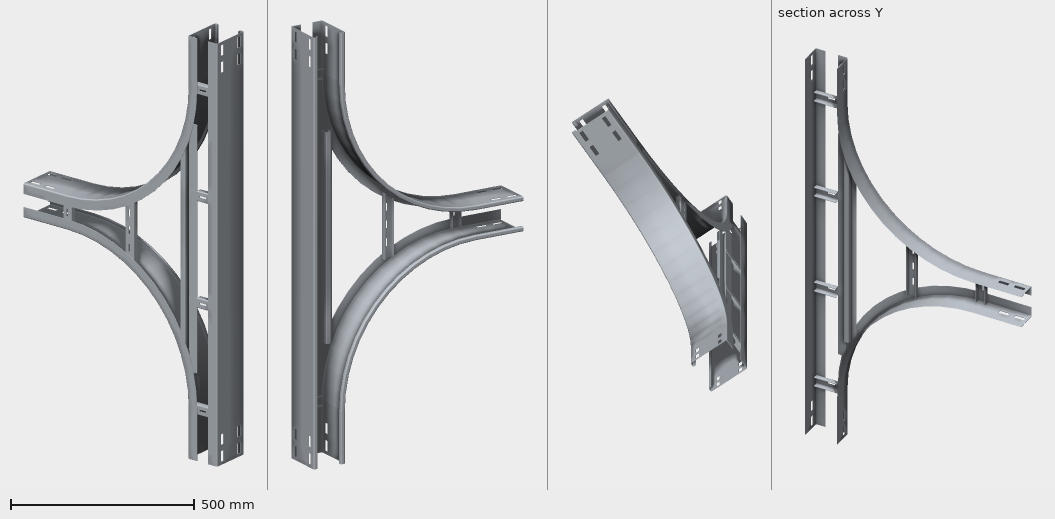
import cadquery as cq
import math

run_length = 1240.0
ladder_width = 100.0
leg_length = 150.0
rail_height = 120.0
sheet = 1.5
rail_bend = 4.0
small_bend = 3.0

rail_flange = 31.0
rail_lip = 14.0
rail_lip_return = 10.0

rail_slot_length = 31.0
rail_slot_width = 11.0
rail_slot_offset = 37.0
rail_slot_pitch = 50.0
first_slot_center = 25.0

rung_width = 30.0
rung_depth = 16.0
rung_slot_length = 22.0
rung_slot_width = 5.0

middle_rung_x = 366.0
middle_rung_length = 191.0
middle_rung_slot_pitch = 51.0

beam_left = 542.0
trough_left = 557.0
trough_right = 569.0
beam_right = 599.0
beam_depth = 20.0
trough_length = 608.0
beam_length = 729.0
beam_corner = 4.0

half_run = run_length / 2
half_width = ladder_width / 2
rail_radius = half_run - half_width - leg_length
arc_x = leg_length
arc_z = half_run - leg_length
side_web_x = arc_x + rail_radius
straight_web_x = side_web_x + ladder_width
inner_rung_z = arc_z / 3
rung_front = -rail_height / 2 + sheet
beam_front = rung_front + sheet


def unit(start, end):
    length = math.dist(start, end)
    return ((end[0] - start[0]) / length, (end[1] - start[1]) / length)


def side_moves(path, offset, mid_radius):
    """Lines and bend arcs of one face of a sheet whose mid-line is a right-angled path."""
    first = unit(path[0], path[1])
    moves = [("line", (path[0][0] - offset * first[1], path[0][1] + offset * first[0]))]
    for before, corner, after in zip(path, path[1:], path[2:]):
        a = unit(before, corner)
        b = unit(corner, after)
        turn = a[0] * b[1] - a[1] * b[0]
        radius = mid_radius - offset * turn
        tip = (corner[0] - offset * (a[1] + b[1]), corner[1] + offset * (a[0] + b[0]))
        begin = (tip[0] - radius * a[0], tip[1] - radius * a[1])
        finish = (tip[0] + radius * b[0], tip[1] + radius * b[1])
        inset = radius * (1 - math.sqrt(0.5))
        middle = (tip[0] + inset * (b[0] - a[0]), tip[1] + inset * (b[1] - a[1]))
        moves += [("line", begin), ("arc", middle, finish)]
    last = unit(path[-2], path[-1])
    moves.append(("line", (path[-1][0] - offset * last[1], path[-1][1] + offset * last[0])))
    return moves


def bent_section(workplane, path, outer_radius):
    """Closed outline of a bent sheet around its mid-line path."""
    mid_radius = outer_radius - sheet / 2
    outline = side_moves(path, sheet / 2, mid_radius) + side_moves(path[::-1], sheet / 2, mid_radius)
    section = workplane.moveTo(*outline[0][1])
    for move in outline[1:]:
        if move[0] == "line":
            section = section.lineTo(*move[1])
        else:
            section = section.threePointArc(*move[1:])
    return section.close()


def rail_section(z, web_x, inward):
    """Rail section at height z; inward is the X direction from the web to the ladder's middle."""
    half_height = rail_height / 2 - sheet / 2
    web = web_x + inward * sheet / 2
    lip = web_x + inward * (rail_lip - sheet / 2)
    path = [
        (web_x + inward * rail_flange, -half_height),
        (web, -half_height),
        (web, half_height),
        (lip, half_height),
        (lip, rail_height / 2 - rail_lip_return),
    ]
    return bent_section(cq.Workplane("XY", origin=(0, 0, z)), path, rail_bend)


def rail_slots(end_z, into_rail, web_x):
    """Four slots through a web near one rail end; into_rail is the Z direction away from the end."""
    first = end_z + into_rail * first_slot_center
    centers = [
        (row * rail_slot_offset, first + into_rail * index * rail_slot_pitch)
        for row in (-1, 1)
        for index in (0, 1)
    ]
    return (
        cq.Workplane("YZ", origin=(web_x, 0, 0))
        .pushPoints(centers)
        .rect(rail_slot_width, rail_slot_length)
        .extrude(2 * sheet, both=True)
    )


def rail_leg(direction):
    """Straight end of a curved rail, running from the arc along Z in the given direction."""
    leg = rail_section(arc_z, side_web_x, 1).extrude(direction * leg_length)
    return leg.cut(rail_slots(arc_z + direction * leg_length, -direction, side_web_x))


def make_curved_rail(side):
    """Quarter-bend rail with two straight ends; side is +1 for the upper one, -1 for the lower."""
    arc = rail_section(arc_z, side_web_x, 1).revolve(90, (arc_x, 0), (arc_x, 1))
    branch_leg = rail_leg(-1).rotate((arc_x, 0, arc_z), (arc_x, 1, arc_z), 90)
    rail = arc.union(rail_leg(1), clean=False).union(branch_leg, clean=False)
    return rail if side > 0 else rail.mirror("XY")


def make_straight_rail():
    rail = rail_section(-half_run, straight_web_x, -1).extrude(run_length)
    for end in (-1, 1):
        rail = rail.cut(rail_slots(end * half_run, -end, straight_web_x))
    return rail


def make_rung(start, end, slot_centers):
    """Channel rung along X, centred on Z = 0, with its web at the front."""
    side = rung_width / 2 - sheet / 2
    web = rung_front + sheet / 2
    back = rung_front + rung_depth
    path = [(back, -side), (web, -side), (web, side), (back, side)]
    section_plane = cq.Workplane("YZ", origin=(start, 0, 0))
    rung = bent_section(section_plane, path, small_bend).extrude(end - start)
    slots = (
        cq.Workplane("XZ", origin=(0, rung_front, 0))
        .pushPoints([(x, 0) for x in slot_centers])
        .rect(rung_slot_length, rung_slot_width)
        .extrude(2 * sheet, both=True)
    )
    return rung.cut(slots)


def make_outer_rung(z):
    start = side_web_x + rail_bend
    end = straight_web_x - rail_bend
    return make_rung(start, end, [(side_web_x + straight_web_x) / 2]).translate((0, 0, z))


def make_inner_rung(z):
    """Rung whose flat web reaches over the beam flange as a tongue."""
    end = straight_web_x - rail_bend
    rung = make_rung(beam_right, end, [(side_web_x + straight_web_x) / 2])
    tongue_start = trough_right + small_bend
    tongue = cq.Workplane("XY").box(
        beam_right - tongue_start, sheet, rung_width - 2 * small_bend, centered=(False, False, True)
    )
    return rung.union(tongue.translate((tongue_start, rung_front, 0)), clean=False).translate((0, 0, z))


def make_upright_rung(x, length, slot_centers):
    """Rung across the branch, along Z."""
    rung = make_rung(-length / 2, length / 2, slot_centers)
    return rung.rotate((0, 0, 0), (0, 1, 0), 90).translate((x, 0, 0))


def make_beam():
    """Troughed sheet between the curved rails, with a longer flat flange on its right."""
    front = beam_front + sheet / 2
    back = beam_front + beam_depth - sheet / 2
    left_wall = trough_left - sheet / 2
    right_wall = trough_right + sheet / 2
    path = [
        (beam_left, front),
        (left_wall, front),
        (left_wall, back),
        (right_wall, back),
        (right_wall, front),
        (beam_right, front),
    ]
    section_plane = cq.Workplane("XY", origin=(0, 0, -trough_length / 2))
    trough = bent_section(section_plane, path, small_bend).extrude(trough_length)
    flange_left = trough_right + small_bend
    flange = (
        cq.Workplane("XY")
        .box(beam_right - flange_left, sheet, beam_length, centered=(False, False, True))
        .edges("|Y and >X")
        .fillet(beam_corner)
        .translate((flange_left, beam_front, 0))
    )
    return trough.union(flange)


straight_rail = make_straight_rail()
curved_rails = [make_curved_rail(side) for side in (-1, 1)]
outer_rungs = [make_outer_rung(side * arc_z) for side in (-1, 1)]
inner_rungs = [make_inner_rung(side * inner_rung_z) for side in (-1, 1)]
branch_rung = make_upright_rung(leg_length, ladder_width - 2 * rail_bend, [0])
middle_rung = make_upright_rung(
    middle_rung_x, middle_rung_length, [step * middle_rung_slot_pitch for step in (-1, 0, 1)]
)
beam = make_beam()

result = cq.Compound.makeCompound(
    [
        straight_rail.val(),
        *[rail.val() for rail in curved_rails],
        *[rung.val() for rung in outer_rungs],
        *[rung.val() for rung in inner_rungs],
        branch_rung.val(),
        middle_rung.val(),
        beam.val(),
    ]
)